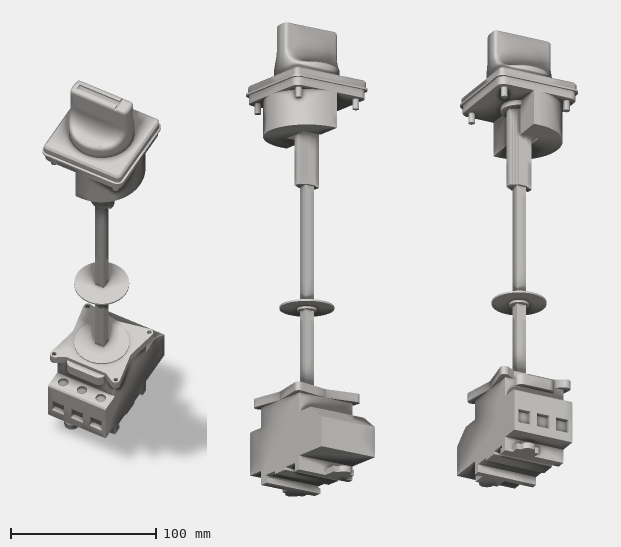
import cadquery as cq

total_height = 327.0
pole_pitch = 14.7
body_width = 45.0
body_half = body_width / 2

terminal_bottom = 10.0
front_reach = 36.0
front_shoulder = 41.2
front_bevel = 1.0
rear_reach = 49.5
rear_shoulder = 42.0
rear_slope_start = 36.3
rear_wall_top = 31.7

rail_half = 17.5
rail_depth = 6.0
rail_pad_half = 6.0
rail_pad_height = 2.0
hook_reach = 2.0
hook_height = 4.0

clip_width = 17.0
clip_center_x = -8.2
clip_height = 4.2
clip_front_reach = 33.5
clip_rear_reach = 37.5
clip_tongue_length = 5.0
clip_tongue_radius = 5.2

window_width = 9.5
window_height = 9.8
window_bottom = 16.7
window_depth = 4.0
screw_radius = 3.5
screw_y = -28.5
screw_depth = 2.3

star_bottom = 55.5
star_top = 61.8
star_tip = 27.8
ear_corner = 3.1
ear_center = 24.2
ear_hole_radius = 1.5
ear_hole_depth = 3.3
front_relief_half = 15.7
front_relief_flare = 1.6

tab_half = 14.7
tab_reach = 26.8
tab_bottom = 51.0
tab_top = 59.0
tab_corner = 5.2

shaft_side = 7.0
disc_radius = 19.0
base_disc_thickness = 1.0
guide_disc_z = 125.2
guide_disc_thickness = 1.3
guide_hub_radius = 7.0
guide_hub_height = 1.5

plate_side = 60.0
lower_plate_bottom = 274.3
gasket_bottom = 280.0
gasket_top = 281.5
upper_plate_top = 287.5
gasket_side = 63.0
lower_corner = 5.2
upper_corner = 3.3
upper_bevel = 1.3

pin_radius = 2.3
pin_center = 24.2
pin_bottom = 267.0
boss_radius = 12.7
boss_height = 3.5
socket_bottom = 213.0
socket_radius = 8.8
socket_wing_half = 2.5
socket_steps = 3
socket_first_step_x = 7.0
socket_step_run = 1.8
socket_step_rise = 1.0
lock_bottom = 248.8
lock_face_x = -4.2
lock_arc_start_x = 0.5
lock_notch_half = 10.0
lock_notch_end_x = 9.8

handle_radius = body_half
blade_half = 6.2
scoop_radius = 11.5
scoop_floor = 297.0
scoop_edge_round = 2.5
blade_top_round = 2.3
rim_pad_half = 9.5
rim_pad_bevel_height = 3.0
rim_pad_bevel_width = 2.0
top_slot_start, top_slot_end = -18.3, 13.5
top_slot_width = 4.0
top_slot_depth = 1.3
cross_slot_x = 13.7
cross_slot_width = 1.3

pick_margin = 0.3


def box(x0, x1, y0, y1, z0, z1):
    return cq.Workplane("XY").box(x1 - x0, y1 - y0, z1 - z0, centered=False).translate((x0, y0, z0))


def disc(radius, z0, z1, x=0, y=0):
    return cq.Workplane("XY", origin=(x, y, z0)).circle(radius).extrude(z1 - z0)


def square_plate(side, z0, z1, corner):
    plate = cq.Workplane("XY", origin=(0, 0, z0)).rect(side, side).extrude(z1 - z0)
    return plate.edges("|Z").fillet(corner)


def corner_points(distance):
    return [(x, y) for x in (-distance, distance) for y in (-distance, distance)]


def switch_body():
    pad_bottom = rail_depth - rail_pad_height
    outline = [
        (-body_half, 0),
        (-body_half, terminal_bottom),
        (-front_reach, terminal_bottom),
        (-front_reach, front_shoulder - front_bevel),
        (-front_reach + front_bevel, front_shoulder),
        (-body_half, front_shoulder),
        (-body_half, star_bottom),
        (body_half, star_bottom),
        (body_half, rear_shoulder),
        (rear_slope_start, rear_shoulder),
        (rear_reach, rear_wall_top),
        (rear_reach, terminal_bottom),
        (body_half, terminal_bottom),
        (body_half, 0),
        (rail_half, 0),
        (rail_half, rail_depth),
        (rail_pad_half, rail_depth),
        (rail_pad_half, pad_bottom),
        (-rail_pad_half, pad_bottom),
        (-rail_pad_half, rail_depth),
        (-rail_half, rail_depth),
        (-rail_half, hook_height),
        (-rail_half + hook_reach, hook_height),
        (-rail_half + hook_reach, 0),
    ]
    body = cq.Workplane("YZ").polyline(outline).close().extrude(body_half, both=True)
    for pole in (-1, 0, 1):
        x = pole * pole_pitch
        window = box(
            x - window_width / 2, x + window_width / 2,
            -front_reach, -front_reach + window_depth,
            window_bottom, window_bottom + window_height,
        )
        screw_hole = disc(screw_radius, front_shoulder - screw_depth, front_shoulder, x, screw_y)
        body = body.cut(window).cut(screw_hole)
    return body


def rail_clip(end_y):
    """Wide clip plate ending in a narrower round tongue that reaches end_y."""
    side = 1 if end_y > 0 else -1
    plate_end = end_y - side * clip_tongue_length
    tongue_center = end_y - side * clip_tongue_radius

    def bar(width, start_y, stop_y):
        return box(
            clip_center_x - width / 2, clip_center_x + width / 2,
            min(start_y, stop_y), max(start_y, stop_y),
            0, clip_height,
        )

    plate = bar(clip_width, side * rail_half, plate_end)
    tongue = bar(2 * clip_tongue_radius, side * rail_half, tongue_center)
    tongue_tip = disc(clip_tongue_radius, 0, clip_height, clip_center_x, tongue_center)
    return plate.union(tongue).union(tongue_tip)


def star_plate():
    outline = [
        (star_tip, star_tip), (0, body_half),
        (-star_tip, star_tip), (-body_half, 0),
        (-star_tip, -star_tip), (0, -body_half),
        (star_tip, -star_tip), (body_half, 0),
    ]
    plate = cq.Workplane("XY", origin=(0, 0, star_bottom)).polyline(outline).close()
    plate = plate.extrude(star_top - star_bottom)
    for x, y in corner_points(star_tip):
        near_tip = cq.selectors.BoxSelector(
            (x - pick_margin, y - pick_margin, 0),
            (x + pick_margin, y + pick_margin, total_height),
        )
        plate = plate.edges("|Z").edges(near_tip).fillet(ear_corner)
    for x, y in corner_points(ear_center):
        plate = plate.cut(disc(ear_hole_radius, star_top - ear_hole_depth, star_top, x, y))
    return plate.cut(front_relief())


def front_relief():
    """Recess in the front of the star plate, flush with the neck and flaring towards both ears."""
    depth = star_tip - body_half
    mouth_half = front_relief_half + depth * front_relief_flare
    return (
        cq.Workplane("XY", origin=(0, 0, star_bottom))
        .polyline([
            (-front_relief_half, -body_half),
            (front_relief_half, -body_half),
            (mouth_half, -star_tip),
            (-mouth_half, -star_tip),
        ])
        .close()
        .extrude(star_top - star_bottom)
    )


def pull_tab():
    tab = box(-tab_half, tab_half, -tab_reach, 0, tab_bottom, tab_top)
    return tab.edges("|Z and <Y").fillet(tab_corner)


def shaft():
    half = shaft_side / 2
    rod = box(-half, half, -half, half, star_top, lower_plate_bottom)
    base_disc = disc(disc_radius, star_top, star_top + base_disc_thickness)
    guide_disc = disc(disc_radius, guide_disc_z, guide_disc_z + guide_disc_thickness)
    guide_hub = disc(guide_hub_radius, guide_disc_z - guide_hub_height, guide_disc_z)
    return rod.union(base_disc).union(guide_disc).union(guide_hub)


def shaft_socket():
    def block(half_x, half_y):
        return box(-half_x, half_x, -half_y, half_y, socket_bottom, lower_plate_bottom)

    wings = disc(socket_radius, socket_bottom, lower_plate_bottom)
    socket = wings.intersect(block(socket_radius, socket_wing_half))
    for step in range(socket_steps):
        half_x = socket_first_step_x - step * socket_step_run
        half_y = socket_wing_half + (step + 1) * socket_step_rise
        socket = socket.union(block(half_x, half_y))
    return socket


def door_plates():
    lower = square_plate(plate_side, lower_plate_bottom, gasket_bottom, lower_corner)
    gasket = square_plate(gasket_side, gasket_bottom, gasket_top, lower_corner)
    upper = square_plate(plate_side, gasket_top, upper_plate_top, upper_corner)
    upper = upper.faces(">Z").edges().chamfer(upper_bevel)
    plates = lower.union(gasket).union(upper)
    for x, y in corner_points(pin_center):
        plates = plates.union(disc(pin_radius, pin_bottom, lower_plate_bottom, x, y))
    return plates.union(disc(boss_radius, lower_plate_bottom - boss_height, lower_plate_bottom))


def lock_housing():
    half = plate_side / 2
    housing = (
        cq.Workplane("XY", origin=(0, 0, lock_bottom))
        .moveTo(lock_face_x, -half)
        .lineTo(lock_arc_start_x, -half)
        .threePointArc((half, 0), (lock_arc_start_x, half))
        .lineTo(lock_face_x, half)
        .close()
        .extrude(lower_plate_bottom - lock_bottom)
    )
    notch = box(
        lock_face_x, lock_notch_end_x,
        -lock_notch_half, lock_notch_half,
        lock_bottom, lower_plate_bottom,
    )
    return housing.cut(notch)


def scoop():
    """Material removed beside the blade on the -Y side: flat floor, round root, straight wall."""
    root_y = -blade_half - scoop_radius
    root_top = scoop_floor + scoop_radius
    outer = -2 * handle_radius
    return (
        cq.Workplane("YZ")
        .moveTo(outer, scoop_floor)
        .lineTo(root_y, scoop_floor)
        .radiusArc((-blade_half, root_top), -scoop_radius)
        .lineTo(-blade_half, total_height)
        .lineTo(outer, total_height)
        .close()
        .extrude(2 * handle_radius, both=True)
    )


def rim_pads():
    """Bevelled stretches of full rim in the middle of both scoop floors."""
    rim = disc(handle_radius, upper_plate_top, scoop_floor)
    rim = rim.faces(">Z").edges().chamfer(rim_pad_bevel_height, rim_pad_bevel_width)
    return rim.intersect(box(
        -rim_pad_half, rim_pad_half,
        -handle_radius, handle_radius,
        upper_plate_top, scoop_floor,
    ))


def handle():
    knob = disc(handle_radius, upper_plate_top, total_height)
    for cutter in (scoop(), scoop().mirror("XZ")):
        knob = knob.cut(cutter)
    below_blade_top = cq.selectors.BoxSelector(
        (-handle_radius, -handle_radius - pick_margin, scoop_floor - pick_margin),
        (handle_radius, handle_radius + pick_margin, total_height - pick_margin),
    )
    knob = knob.edges(below_blade_top).edges("not |X").fillet(scoop_edge_round)
    knob = knob.faces(">Z").edges().fillet(blade_top_round)
    knob = knob.union(rim_pads())
    slot_bottom = total_height - top_slot_depth
    top_slot = box(
        top_slot_start, top_slot_end,
        -top_slot_width / 2, top_slot_width / 2,
        slot_bottom, total_height,
    )
    cross_slot = box(
        cross_slot_x - cross_slot_width / 2, cross_slot_x + cross_slot_width / 2,
        -blade_half, blade_half,
        slot_bottom, total_height,
    )
    return knob.cut(top_slot).cut(cross_slot)


result = switch_body()
for piece in (
    rail_clip(-clip_front_reach), rail_clip(clip_rear_reach), star_plate(),
    pull_tab(), shaft(), shaft_socket(),
    door_plates(), lock_housing(), handle(),
):
    result = result.union(piece)